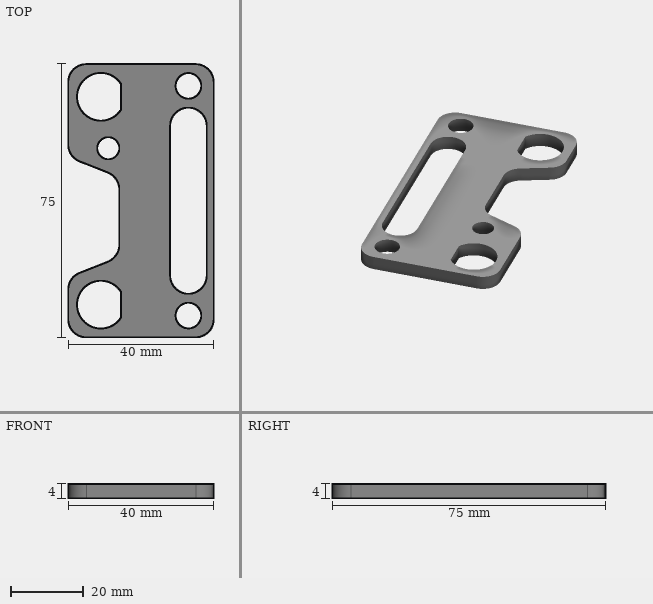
import cadquery as cq

width = 40.0
length = 75
thickness = 4.0
corner_radius = 5.0

notch_depth = 14.0
notch_center_y = 33
notch_mouth = 33
notch_floor = 22.0

flat_hole_radius = 6.5
flat_hole_inset = 9
flat_offset = 5.5

right_inset = 7.0
mount_hole_diameter = 7.0
mount_hole_end_inset = 6
slot_width = 10.0
slot_length = 51

small_hole_diameter = 6
small_hole_x = 11.0
small_hole_y = 51.9


def make_plate():
    """Plate outline with the notch, every corner rounded alike."""
    outline = [
        (0, 0),
        (width, 0),
        (width, length),
        (0, length),
        (0, notch_center_y + notch_mouth / 2),
        (notch_depth, notch_center_y + notch_floor / 2),
        (notch_depth, notch_center_y - notch_floor / 2),
        (0, notch_center_y - notch_mouth / 2),
    ]
    plate = cq.Workplane("XY").polyline(outline).close().extrude(thickness)
    return plate.edges("|Z").fillet(corner_radius)


def round_holes(centers, diameter):
    return cq.Workplane("XY").pushPoints(centers).circle(diameter / 2).extrude(thickness)


def flat_hole(center_y):
    """Cylinder cut off by a flat on its +X side."""
    half_flat = (flat_hole_radius**2 - flat_offset**2) ** 0.5
    flat_x = flat_hole_inset + flat_offset
    return (
        cq.Workplane("XY")
        .moveTo(flat_x, center_y + half_flat)
        .threePointArc(
            (flat_hole_inset - flat_hole_radius, center_y),
            (flat_x, center_y - half_flat),
        )
        .close()
        .extrude(thickness)
    )


def slot():
    return (
        cq.Workplane("XY")
        .center(width - right_inset, length / 2)
        .slot2D(slot_length, slot_width, 90)
        .extrude(thickness)
    )


mount_x = width - right_inset
mount_centers = [
    (mount_x, mount_hole_end_inset),
    (mount_x, length - mount_hole_end_inset),
]

result = make_plate()
result = result.cut(round_holes(mount_centers, mount_hole_diameter))
result = result.cut(round_holes([(small_hole_x, small_hole_y)], small_hole_diameter))
result = result.cut(slot())
for hole_y in (flat_hole_inset, length - flat_hole_inset):
    result = result.cut(flat_hole(hole_y))